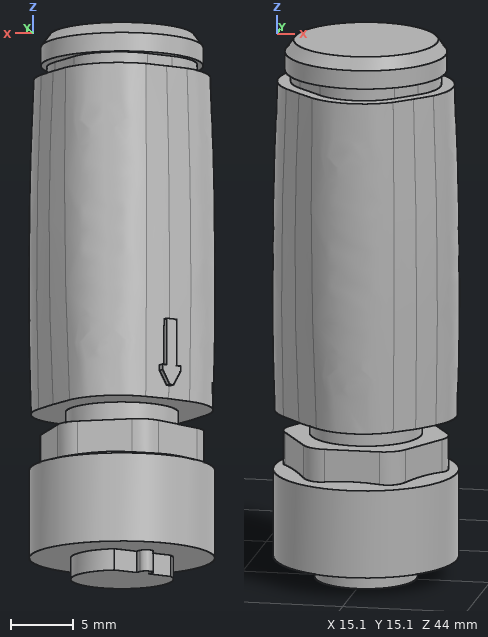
import cadquery as cq
import math

tip_top = 1.7
nut_shoulder = 8.85
nut_cone_top = 9.25
hex_top = 11.8
sleeve_bottom = 13.5
sleeve_belly = 23.3
sleeve_top = 40.5
cap_bottom = 41.55
cap_shoulder = 43.05
total_height = 44.0

tip_radius = 4.1
nut_radius = 7.4
nut_cone_top_radius = 6.05
neck_radius = 4.5
cap_radius = 6.45
cap_top_radius = 5.75

key_angle = 135

tip_flat_distance = 3.12
rib_width = 1.15
rib_nose_center = 3.6

hex_across_flats = 12.1
hex_corner_radius = 2.2

collar_width = 10.82
collar_length = 11.35
collar_corner_radius = 4.25

sleeve_sections = [
    (sleeve_bottom, 7.4, (6.45, 6.15, 2.85), (7.0, 6.3, 3.4)),
    (sleeve_belly, 7.52, (6.8, 6.25, 3.15), (7.15, 6.42, 3.48)),
    (sleeve_top, 7.15, (6.45, 5.85, 3.25), (6.7, 6.05, 3.35)),
]

arrow_face_distance = 7.5
arrow_root_distance = 5.7
arrow_top = 19.9
arrow_head_top = 16.15
arrow_head_shoulder = 15.7
arrow_tip = 14.55
arrow_shaft_width = 0.92
arrow_head_width = 1.65
arrow_tip_width = 0.35


def cylinder(radius, bottom, top):
    return cq.Workplane("XY").workplane(offset=bottom).circle(radius).extrude(top - bottom)


def make_tip():
    """Locating tip, built facing +X and then turned to the key direction."""
    height = tip_top
    tip = cylinder(tip_radius, 0, height)
    cutter = cq.Workplane("XY").box(
        tip_radius, 2 * tip_radius, height, centered=(False, True, False)
    ).translate((tip_flat_distance, 0, 0))
    rib = cq.Workplane("XY").box(rib_nose_center, rib_width, height, centered=(False, True, False))
    nose = cylinder(rib_width / 2, 0, height).translate((rib_nose_center, 0, 0))
    tip = tip.cut(cutter).union(rib).union(nose)
    return tip.rotate((0, 0, 0), (0, 0, 1), key_angle)


def make_nut():
    """Coupling nut with a shallow cone on its top."""
    profile = [
        (0, tip_top),
        (nut_radius, tip_top),
        (nut_radius, nut_shoulder),
        (nut_cone_top_radius, nut_cone_top),
        (0, nut_cone_top),
    ]
    return cq.Workplane("XZ").polyline(profile).close().revolve(360, (0, 0), (0, 1))


def make_hexagon():
    across_corners = hex_across_flats / math.cos(math.radians(30))
    hexagon = cq.Workplane("XY").workplane(offset=nut_shoulder).polygon(6, across_corners)
    return hexagon.extrude(hex_top - nut_shoulder).edges("|Z").fillet(hex_corner_radius)


def make_collar():
    collar = cq.Workplane("XY").workplane(offset=sleeve_top).rect(collar_length, collar_width)
    collar = collar.extrude(cap_bottom - sleeve_top).edges("|Z").fillet(collar_corner_radius)
    return collar.rotate((0, 0, 0), (0, 0, 1), key_angle)


def make_cap():
    profile = [
        (0, cap_bottom),
        (cap_radius, cap_bottom),
        (cap_radius, cap_shoulder),
        (cap_top_radius, total_height),
        (0, total_height),
    ]
    return cq.Workplane("XZ").polyline(profile).close().revolve(360, (0, 0), (0, 1))


def sleeve_wire(height, axis_reach, plain_side, key_side):
    """Four round corners on the axes, joined by sides with a slight ridge in the middle."""
    sides = [plain_side, key_side]

    def place(x, y, quarter):
        angle = math.radians(90 * quarter)
        return cq.Vector(
            x * math.cos(angle) - y * math.sin(angle),
            x * math.sin(angle) + y * math.cos(angle),
            height,
        )

    edges = []
    for quarter in range(4):
        _, last_long, last_short = sides[(quarter + 1) % 2]
        diagonal_reach, next_long, next_short = sides[quarter % 2]
        ridge = diagonal_reach / math.sqrt(2)
        arc_start = place(last_long, -last_short, quarter)
        arc_middle = place(axis_reach, 0, quarter)
        arc_end = place(next_long, next_short, quarter)
        side_ridge = place(ridge, ridge, quarter)
        next_corner = place(next_short, next_long, quarter)
        edges.append(cq.Edge.makeThreePointArc(arc_start, arc_middle, arc_end))
        edges.append(cq.Edge.makeLine(arc_end, side_ridge))
        edges.append(cq.Edge.makeLine(side_ridge, next_corner))
    return cq.Wire.assembleEdges(edges)


def make_sleeve():
    wires = [sleeve_wire(*section) for section in sleeve_sections]
    return cq.Workplane(cq.Solid.makeLoft(wires))


def make_arrow():
    """Arrow built on the +X side and then turned to the key direction."""
    right_half = [
        (arrow_shaft_width / 2, arrow_top),
        (arrow_shaft_width / 2, arrow_head_top),
        (arrow_head_width / 2, arrow_head_top),
        (arrow_head_width / 2, arrow_head_shoulder),
        (arrow_tip_width / 2, arrow_tip),
    ]
    left_half = [(-y, z) for y, z in reversed(right_half)]
    arrow = cq.Workplane("YZ").workplane(offset=arrow_root_distance)
    arrow = arrow.polyline(right_half + left_half).close()
    arrow = arrow.extrude(arrow_face_distance - arrow_root_distance)
    return arrow.rotate((0, 0, 0), (0, 0, 1), key_angle)


neck = cylinder(neck_radius, hex_top, sleeve_bottom)

result = (
    make_tip()
    .union(make_nut())
    .union(make_hexagon())
    .union(neck)
    .union(make_sleeve())
    .union(make_arrow())
    .union(make_collar())
    .union(make_cap())
)